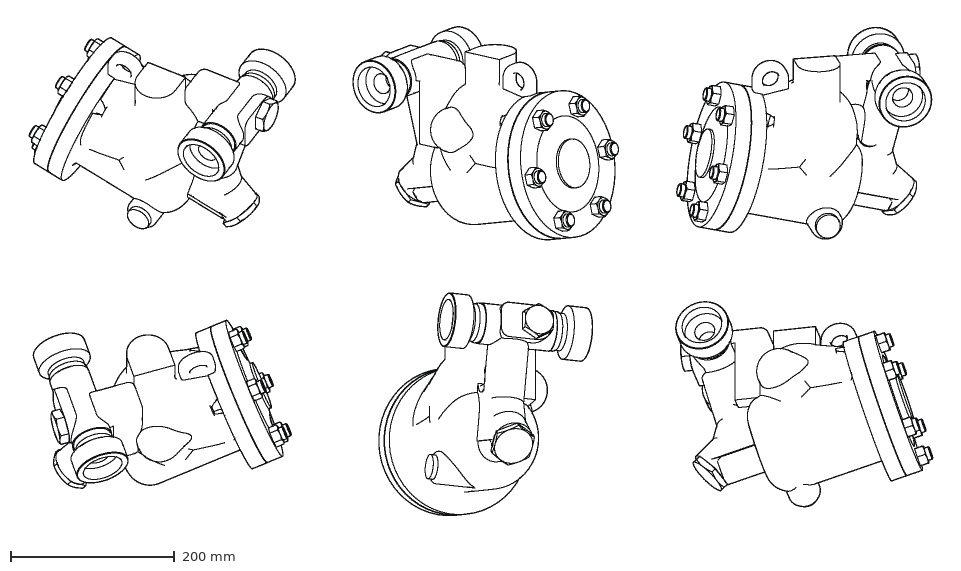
import cadquery as cq
import math

TILT = 15.0
OVERLAP = 1.0
BODY_Y = -7.0
FACE_X = -224.6
FACE_Z = -79.9

FLANGE_D = 180.0
COVER_T = 20.0
FLANGE_T = 40.0
JOINT_GROOVE = 0.5
BOSS_D = 60.0
BOSS_HEIGHT = 10.0
CONE_HEIGHT = 6.8
CONE_D = 96.0
RIM_D = 105.0
RIM_HEIGHT = 1.7
STEP_D = 118.0
STEP_TOP_D = 114.0
STEP_HEIGHT = 1.0

STUD_COUNT = 6
STUD_CIRCLE_D = 146.0
STUD_D = 16.0
STUD_REACH = 17.05
STUD_CHAMFER = 1.0
NUT_ACROSS_FLATS = 22.0
NUT_HEIGHT = 11.0
HEX_BEVEL = 30.0
POCKET_D = 24.0
POCKET_END = 52.0
UPPER_STUDS = (60, 120)

SHELL_R = 63.0
SHELL_END = 182.0
SHELL_END_ROUND = 30.0
ROOT_ROUND = 5.0
CROWN_X = -106.3
CROWN_R = 62.7
CROWN_Z = -57.0
NECK_RISE = 13.0
NECK_HALF_HEIGHT = 75.0
NECK_HALF_WIDTH = 62.0
NECK_END_R = 62.3
BULGE_X = -87.0
BULGE_Y = 43.0
BULGE_Z = -50.0
BULGE_R = 28.0
BULGE_TAPER = 29.0
BULGE_LENGTH = 40.0

CONN_LENGTH = 178.0
HUB_D = 66.0
HUB_LENGTH = 24.0
HUB_CHAMFER = 0.8
HUB_CONE_LENGTH = 5.5
NECK_D = 46.0
NECK_LENGTH = 6.0
COLLAR_D = 49.1
COLLAR_LENGTH = 7.5
COLLAR_ROUND = 1.4
PIPE_D = 50.0
SOCKET_D = 49.5
SOCKET_DEPTH = 16.0
BORE_D = 25.0
BORE_DEPTH = 40.0

BLOCK_LEFT = -70.0
BLOCK_RIGHT = -30.0
BLOCK_TOP = 22.0
BLOCK_BOTTOM = -80.0
BLOCK_WIDTH = 44.0
BLOCK_ROUND = 10.0
BLOCK_TOP_ROUND = 9.9
BLOCK_SMALL_ROUND = 5.0
COLUMN_X = -46.0
COLUMN_R = 16.0
COLUMN_TOP = -29.0

INLET_X = -95.4
INLET_TOP = 35.0
INLET_WIDTH = 52.6
INLET_CENTRE_Y = -29.3
INLET_FLAT_Y = -3.7
INLET_ROUND = 2.0

EYE_X = -150.9
EYE_Z = 12.75
EYE_D = 44.0
EYE_HOLE_D = 22.0
EYE_HOLE_ROUND = 1.5
EYE_T = 15.0
EYE_ROUND = 3.0
EYE_DEPTH = 40.0

DRAIN_X = -94.2
DRAIN_Z = -158.7
DRAIN_D = 40.0
DRAIN_ROUND = 5.0
DRAIN_FACE_Y = -72.0
DRAIN_PAD_D = 30.0
DRAIN_PAD_Y = -78.0

LEG_LENGTH = 94.2
BEND_LENGTH = 34.3
CAP_LEG_LENGTH = 36.5
CAP_ANGLE = 45.0
CAP_OFFSET = 2.7
CAP_CORNERS = 55.4
CAP_T = 8.0
FEED_D = 46.0
FEED_V = -7.3
FEED_END = 232.0
WEB_TOP_Z = -61.6
WEB_T = 49.4
WEB_SAG = 15.0

PLUG_Y = 18.0
PLUG_SEAT_X = 26.7
PLUG_END_X = 38.2
PLUG_CORNERS = 42.0
PLUG_BOSS_LOW_Y = -27.0
PLUG_BOSS_ROUND = 10.0


def to_body(shape):
    """Move a shape from the body frame (axis on X, cover face at X = 0) into place."""
    tilted = shape.rotate((0, 0, 0), (0, 1, 0), TILT)
    return tilted.translate((FACE_X, BODY_Y, FACE_Z))


def body_point(along, across):
    """X and Z of a point given along and across the tilted body axis."""
    angle = math.radians(TILT)
    x = FACE_X + along * math.cos(angle) + across * math.sin(angle)
    z = FACE_Z - along * math.sin(angle) + across * math.cos(angle)
    return x, z


def rod(start, direction, diameter, length):
    """Round bar from a start point along a direction."""
    return cq.Workplane(
        cq.Solid.makeCylinder(diameter / 2, length, cq.Vector(*start), cq.Vector(*direction))
    )


def ball(centre, radius):
    return cq.Workplane("XY").sphere(radius).translate(centre)


def flanges():
    radius = FLANGE_D / 2
    profile = (
        cq.Workplane("XZ")
        .moveTo(FLANGE_T, 0)
        .lineTo(FLANGE_T, radius)
        .lineTo(COVER_T + JOINT_GROOVE, radius)
        .lineTo(COVER_T + JOINT_GROOVE, radius - JOINT_GROOVE)
        .lineTo(COVER_T, radius - JOINT_GROOVE)
        .lineTo(COVER_T, radius)
        .lineTo(0, radius)
        .lineTo(0, STEP_D / 2)
        .lineTo(-STEP_HEIGHT, STEP_TOP_D / 2)
        .lineTo(-RIM_HEIGHT, RIM_D / 2)
        .lineTo(-RIM_HEIGHT, CONE_D / 2)
        .lineTo(-CONE_HEIGHT, BOSS_D / 2)
        .lineTo(-BOSS_HEIGHT, BOSS_D / 2)
        .lineTo(-BOSS_HEIGHT, 0)
        .close()
    )
    return profile.revolve(360, (0, 0, 0), (1, 0, 0))


def hexagon(corners, height):
    """Hexagon along +X from X = 0, a corner pointing up, with its far corners bevelled."""
    radius = corners / 2
    flat_radius = radius * math.cos(math.pi / 6)
    drop = (radius - flat_radius) * math.tan(math.radians(HEX_BEVEL))
    corner_up = 90 - 360 / 6
    prism = cq.Workplane("YZ").polygon(6, corners).extrude(height)
    prism = prism.rotate((0, 0, 0), (1, 0, 0), corner_up)
    bevelled = (
        cq.Workplane("XZ")
        .lineTo(0, radius)
        .lineTo(height - drop, radius)
        .lineTo(height, flat_radius)
        .lineTo(height, 0)
        .close()
        .revolve(360, (0, 0, 0), (1, 0, 0))
    )
    return prism.intersect(bevelled)


def stud():
    """Front end of one stud with its nut, on the body axis."""
    corners = NUT_ACROSS_FLATS / math.cos(math.pi / 6)
    nut = hexagon(corners, NUT_HEIGHT).mirror("YZ")
    shank = cq.Workplane("YZ").circle(STUD_D / 2).extrude(-STUD_REACH)
    return shank.faces("<X").chamfer(STUD_CHAMFER).union(nut)


def on_stud_circle(shape, turn):
    """Move a shape from the body axis to an angle on the stud circle."""
    angle = math.radians(turn)
    radius = STUD_CIRCLE_D / 2
    return shape.translate((0, radius * math.cos(angle), radius * math.sin(angle)))


def studs():
    ring = cq.Workplane("XY")
    for index in range(STUD_COUNT):
        ring = ring.add(on_stud_circle(stud(), index * 360 / STUD_COUNT))
    return ring.combine()


def stud_pockets():
    pocket = cq.Workplane("YZ", origin=(FLANGE_T, 0, 0)).circle(POCKET_D / 2)
    pocket = pocket.extrude(POCKET_END - FLANGE_T)
    pair = cq.Workplane("XY")
    for turn in UPPER_STUDS:
        pair = pair.add(on_stud_circle(pocket, turn))
    return pair.combine()


def shell():
    """Tilted barrel with a rounded far end and a fillet at its root."""
    barrel = cq.Workplane("YZ", origin=(COVER_T, 0, 0)).circle(SHELL_R).extrude(SHELL_END - COVER_T)
    barrel = barrel.faces(">X").edges().fillet(SHELL_END_ROUND)
    bend = ROOT_ROUND * (1 - math.sqrt(0.5))
    root = (
        cq.Workplane("XZ")
        .moveTo(FLANGE_T, 0)
        .lineTo(FLANGE_T, SHELL_R + ROOT_ROUND)
        .threePointArc((FLANGE_T + bend, SHELL_R + bend), (FLANGE_T + ROOT_ROUND, SHELL_R))
        .lineTo(FLANGE_T + ROOT_ROUND, 0)
        .close()
        .revolve(360, (0, 0, 0), (1, 0, 0))
    )
    return to_body(barrel.union(root))


def crown():
    """Domed upper part: a round-topped column, blended into an oval at the flange."""
    axis_drop = (CROWN_X - FACE_X) * math.tan(math.radians(TILT))
    foot = FACE_Z - axis_drop
    profile = (
        cq.Workplane("XZ")
        .moveTo(0, foot)
        .lineTo(CROWN_R, foot)
        .lineTo(CROWN_R, CROWN_Z)
        .threePointArc(
            (CROWN_R * math.sqrt(0.5), CROWN_Z + CROWN_R * math.sqrt(0.5)),
            (0, CROWN_Z + CROWN_R),
        )
        .close()
    )
    column = profile.revolve(360, (0, 0, 0), (0, 1, 0)).translate((CROWN_X, BODY_Y, 0))
    neck_x, neck_z = body_point(FLANGE_T - OVERLAP, NECK_RISE)
    tilt = math.radians(TILT)
    along = cq.Vector(math.cos(tilt), 0, -math.sin(tilt))
    across = cq.Vector(math.sin(tilt), 0, math.cos(tilt))
    oval = cq.Wire.makeEllipse(
        NECK_HALF_HEIGHT, NECK_HALF_WIDTH, cq.Vector(neck_x, BODY_Y, neck_z), along, across
    )
    crown_centre = cq.Vector(CROWN_X, BODY_Y, CROWN_Z)
    ring = cq.Wire.makeCircle(NECK_END_R, crown_centre, cq.Vector(1, 0, 0))
    neck = cq.Workplane(cq.Solid.makeLoft([oval, ring]))
    return column.union(neck)


def bulge():
    """Rounded swelling on the +Y side of the crown, running out towards the flange as a cone."""
    taper = math.radians(BULGE_TAPER)
    base_offset = BULGE_R * math.sin(taper)
    base_r = BULGE_R * math.cos(taper)
    tip_r = base_r - BULGE_LENGTH * math.tan(taper)
    base = cq.Vector(BULGE_X - base_offset, BULGE_Y, BULGE_Z)
    cone = cq.Solid.makeCone(base_r, tip_r, BULGE_LENGTH, base, cq.Vector(-1, 0, 0))
    return ball((BULGE_X, BULGE_Y, BULGE_Z), BULGE_R).union(cq.Workplane(cone))


def inlet():
    half = INLET_WIDTH / 2
    return (
        cq.Workplane("XY", origin=(INLET_X, 0, CROWN_Z))
        .moveTo(-half, INLET_FLAT_Y)
        .lineTo(-half, INLET_CENTRE_Y)
        .threePointArc((0, INLET_CENTRE_Y - half), (half, INLET_CENTRE_Y))
        .lineTo(half, INLET_FLAT_Y)
        .close()
        .extrude(INLET_TOP - CROWN_Z)
    )


def lifting_eye():
    plate = (
        cq.Workplane("XZ", origin=(EYE_X, BODY_Y + EYE_T / 2, EYE_Z))
        .moveTo(-EYE_D / 2, 0)
        .threePointArc((0, EYE_D / 2), (EYE_D / 2, 0))
        .lineTo(EYE_D / 2, -EYE_DEPTH)
        .lineTo(-EYE_D / 2, -EYE_DEPTH)
        .close()
        .extrude(EYE_T)
    )
    return plate.faces("<Y or >Y").edges().fillet(EYE_ROUND)


def eye_hole():
    """Eye hole with rounded mouths."""
    half = EYE_T / 2
    radius = EYE_HOLE_D / 2
    bend = EYE_HOLE_ROUND * (1 - math.sqrt(0.5))
    mouth_r = radius + EYE_HOLE_ROUND
    profile = (
        cq.Workplane("XY")
        .moveTo(0, -half)
        .lineTo(mouth_r, -half)
        .threePointArc((radius + bend, bend - half), (radius, EYE_HOLE_ROUND - half))
        .lineTo(radius, half - EYE_HOLE_ROUND)
        .threePointArc((radius + bend, half - bend), (mouth_r, half))
        .lineTo(0, half)
        .close()
    )
    return profile.revolve(360, (0, 0, 0), (0, 1, 0)).translate((EYE_X, BODY_Y, EYE_Z))


def drain_boss():
    boss = rod((DRAIN_X, DRAIN_FACE_Y, DRAIN_Z), (0, 1, 0), DRAIN_D, BODY_Y - DRAIN_FACE_Y)
    boss = boss.faces("<Y").edges().fillet(DRAIN_ROUND)
    pad = rod((DRAIN_X, DRAIN_PAD_Y, DRAIN_Z), (0, 1, 0), DRAIN_PAD_D, BODY_Y - DRAIN_PAD_Y)
    return boss.union(pad)


def connector_half():
    """Half of the connector on the +Y side."""
    end = CONN_LENGTH / 2
    cone_start = end - HUB_LENGTH
    neck_start = cone_start - HUB_CONE_LENGTH
    collar_start = neck_start - NECK_LENGTH
    pipe_end = collar_start - COLLAR_LENGTH
    profile = (
        cq.Workplane("XY")
        .moveTo(0, 0)
        .lineTo(PIPE_D / 2, 0)
        .lineTo(PIPE_D / 2, pipe_end)
        .lineTo(COLLAR_D / 2 - COLLAR_ROUND, pipe_end)
        .threePointArc((COLLAR_D / 2, pipe_end + COLLAR_LENGTH / 2), (NECK_D / 2, collar_start))
        .lineTo(NECK_D / 2, neck_start)
        .lineTo(HUB_D / 2, cone_start)
        .lineTo(HUB_D / 2, end - HUB_CHAMFER)
        .lineTo(HUB_D / 2 - HUB_CHAMFER, end)
        .lineTo(SOCKET_D / 2, end)
        .lineTo(SOCKET_D / 2, end - SOCKET_DEPTH)
        .lineTo(BORE_D / 2, end - SOCKET_DEPTH)
        .lineTo(BORE_D / 2, end - BORE_DEPTH)
        .lineTo(0, end - BORE_DEPTH)
        .close()
    )
    return profile.revolve(360, (0, 0, 0), (0, 1, 0))


def connector():
    half = connector_half()
    return half.union(half.mirror("XZ"))


def outlet_block():
    """Block from the crown to the connector, stepped back below, with a round column."""
    height = BLOCK_TOP - BLOCK_BOTTOM
    block = cq.Workplane("XY").box(-BLOCK_LEFT, BLOCK_WIDTH, height, centered=False)
    block = block.translate((BLOCK_LEFT, BODY_Y, BLOCK_BOTTOM))
    undercut = cq.Workplane("XY").box(-BLOCK_RIGHT, BLOCK_WIDTH, -BLOCK_BOTTOM, centered=False)
    undercut = undercut.translate((BLOCK_RIGHT, BODY_Y, BLOCK_BOTTOM))
    block = block.edges("|Z and <X and >Y").fillet(BLOCK_ROUND)
    block = block.faces(">Z").edges("<X or >Y").fillet(BLOCK_TOP_ROUND)
    block = block.faces("<Y").edges("<X or >Z").fillet(BLOCK_SMALL_ROUND)
    column_centre = (COLUMN_X, BODY_Y, COLUMN_TOP - COLUMN_R)
    column = rod(column_centre, (0, 0, -1), 2 * COLUMN_R, column_centre[2] - BLOCK_BOTTOM)
    return block.cut(undercut).union(column).union(ball(column_centre, COLUMN_R))


def step_from(point, slope, length):
    """X and Z reached from a point; slope is the angle below +X."""
    angle = math.radians(slope)
    return point[0] + length * math.cos(angle), point[1] - length * math.sin(angle)


def limb(start, end, diameter):
    """Round bar in the body's middle plane between two X, Z points."""
    run = (end[0] - start[0], 0, end[1] - start[1])
    length = math.hypot(run[0], run[2])
    return rod((start[0], BODY_Y, start[1]), run, diameter, length)


def strainer():
    """Leg down from the connector, two bends, capped limb, feed limb and the web between."""
    centre = (0, 0)
    first_bend = step_from(centre, 90 + TILT, LEG_LENGTH)
    second_bend = step_from(first_bend, 90 - TILT, BEND_LENGTH)
    seat = step_from(second_bend, CAP_ANGLE, CAP_LEG_LENGTH)
    feed_start = body_point(SHELL_END - SHELL_END_ROUND, FEED_V)
    feed_end = body_point(FEED_END, FEED_V)
    web_top = (WEB_TOP_Z * math.tan(math.radians(TILT)), WEB_TOP_Z)
    web_far = (COLUMN_X, WEB_TOP_Z)
    web_dip = ((web_top[0] + web_far[0]) / 2, WEB_TOP_Z - WEB_SAG)
    web = (
        cq.Workplane("XZ", origin=(0, BODY_Y + WEB_T / 2, 0))
        .polyline([web_far, feed_start, feed_end, seat, second_bend, first_bend, web_top])
        .threePointArc(web_dip, web_far)
        .close()
        .extrude(WEB_T)
    )
    cap_x, cap_z = step_from(seat, CAP_ANGLE + 90, CAP_OFFSET)
    cap = hexagon(CAP_CORNERS, CAP_T).rotate((0, 0, 0), (0, 1, 0), CAP_ANGLE)
    cap = cap.translate((cap_x, BODY_Y, cap_z))
    body = limb(centre, first_bend, PIPE_D)
    body = body.union(limb(first_bend, second_bend, PIPE_D))
    body = body.union(limb(second_bend, seat, PIPE_D))
    for bend in (first_bend, second_bend):
        body = body.union(ball((bend[0], BODY_Y, bend[1]), PIPE_D / 2))
    return body.union(limb(feed_start, feed_end, FEED_D)).union(web).union(cap)


def side_plug():
    boss = (
        cq.Workplane("YZ")
        .moveTo(PLUG_Y, -BLOCK_TOP)
        .threePointArc((PLUG_Y + BLOCK_TOP, 0), (PLUG_Y, BLOCK_TOP))
        .lineTo(PLUG_BOSS_LOW_Y, BLOCK_TOP)
        .lineTo(PLUG_BOSS_LOW_Y, -BLOCK_TOP)
        .close()
        .extrude(PLUG_SEAT_X)
        .edges("|X and <Y")
        .fillet(PLUG_BOSS_ROUND)
    )
    plug = hexagon(PLUG_CORNERS, PLUG_END_X - PLUG_SEAT_X)
    return boss.union(plug.translate((PLUG_SEAT_X, PLUG_Y, 0)))


def crown_with_inlet():
    """Crown and inlet boss joined by a fillet, with the stud pockets cut out."""
    joined = crown().union(inlet())
    half = INLET_WIDTH / 2 + OVERLAP
    foot_box = cq.selectors.BoxSelector(
        (INLET_X - half, INLET_CENTRE_Y - half, CROWN_Z + OVERLAP),
        (INLET_X + half, INLET_FLAT_Y + OVERLAP, CROWN_Z + CROWN_R + OVERLAP),
    )
    return joined.edges(foot_box).fillet(INLET_ROUND).cut(to_body(stud_pockets()))


result = (
    shell()
    .union(crown_with_inlet())
    .union(to_body(flanges()))
    .union(to_body(studs()))
    .union(bulge())
    .union(outlet_block())
    .union(strainer())
    .union(drain_boss())
    .union(lifting_eye())
    .cut(eye_hole())
    .union(side_plug())
    .union(connector())
)